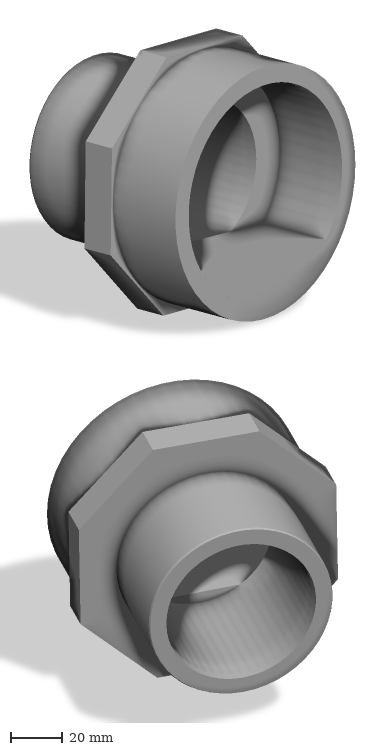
import cadquery as cq
import math

spigot_diameter = 75.0
bore_diameter = 61.0
spigot_length = 44.0
lead_in_length = 0.8
lead_in_depth = 0.4

octagon_sides = 8
octagon_across_flats = 105.0
octagon_length = 14.0
octagon_twist = -0.97

collar_diameter = 103.0
socket_diameter = 87.88
overall_length = 91.3

insert_flat_distance = 25.7
insert_twist = -2.0

collar_start = spigot_length + octagon_length
collar_length = overall_length - collar_start
octagon_corner_diameter = octagon_across_flats / math.cos(math.pi / octagon_sides)


def cylinder(diameter, start, length):
    """Solid round bar along X."""
    return cq.Workplane("YZ", origin=(start, 0, 0)).circle(diameter / 2).extrude(length)


def make_spigot():
    """Spigot with a slight lead-in taper round its free end."""
    radius = spigot_diameter / 2
    profile = [
        (0, 0),
        (0, radius - lead_in_depth),
        (lead_in_length, radius),
        (spigot_length, radius),
        (spigot_length, 0),
    ]
    return cq.Workplane("XY").polyline(profile).close().revolve(360, (0, 0, 0), (1, 0, 0))


def make_octagon():
    """Wrench flange, turned so that its flats lie almost square to Y and Z."""
    square_to_axes = 180 / octagon_sides
    return (
        cq.Workplane("YZ", origin=(spigot_length, 0, 0))
        .polygon(octagon_sides, octagon_corner_diameter)
        .extrude(octagon_length)
        .rotate((0, 0, 0), (1, 0, 0), square_to_axes + octagon_twist)
    )


def make_fitting():
    """Spigot, octagon and collar, bored through and counterbored by the socket."""
    collar = cylinder(collar_diameter, collar_start, collar_length)
    blank = make_spigot().union(make_octagon()).union(collar)
    bore = cylinder(bore_diameter, 0, overall_length)
    socket = cylinder(socket_diameter, collar_start, collar_length)
    return blank.cut(bore).cut(socket)


def make_insert():
    """Segment that lies on the socket wall below a flat, as long as the socket."""
    socket_radius = socket_diameter / 2
    half_chord = math.sqrt(socket_radius**2 - insert_flat_distance**2)
    return (
        cq.Workplane("YZ", origin=(collar_start, 0, 0))
        .moveTo(-half_chord, -insert_flat_distance)
        .threePointArc((0, -socket_radius), (half_chord, -insert_flat_distance))
        .close()
        .extrude(collar_length)
        .rotate((0, 0, 0), (1, 0, 0), insert_twist)
    )


fitting = make_fitting()
insert = make_insert()

result = cq.Compound.makeCompound([fitting.val(), insert.val()])